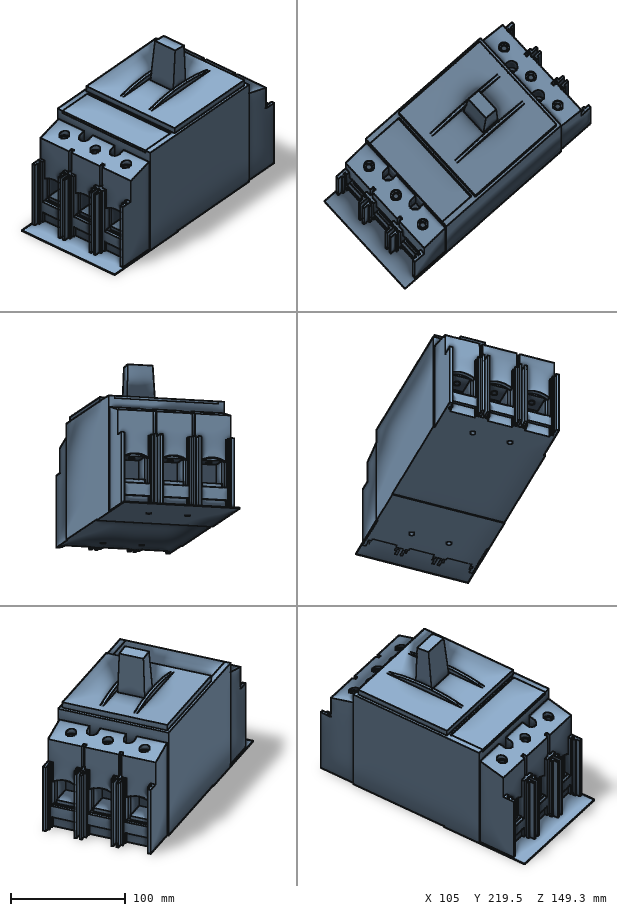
import cadquery as cq

EPS = 2.2

CASE_WIDTH = 105.0
CASE_LENGTH = 134.3
CASE_TOP = 103.8
CASE_FRONT = -CASE_LENGTH / 2
UNDERSIDE = 0.9
PLATE_FRONT = -115.7
PLATE_BACK = -29.5

POLE_PITCH = 35.0
POLES = [-POLE_PITCH, 0, POLE_PITCH]
POLE_GAPS = [-POLE_PITCH / 2, POLE_PITCH / 2]
END_WIDTH = 102.3
END_FACE = 92.0
END_LEDGE = 0.7
SLOPE_HIGH = 93.5
SLOPE_LOW = 86.7

BARRIER_TOP = 64.8
FLANGE_THICKNESS = 2.6
FLANGE_FRONT = END_FACE + FLANGE_THICKNESS
OPENING_WIDTH = 22.8
ARM_OUTER = 3.5
ARM_INNER = 1.43
ARM_END = 103.8
SIDE_ARM_END = 103.0
SIDE_ARM_WIDTH = 2.9
TAB_REACH = 2.0
SIDE_TAB_REACH = 1.5
TAB_LENGTH = 2.2
TAB_START = 96.8
NECK_DEPTH = 0.5
BAR_BOTTOM = 11.2
BAR_TOP = 22.2
GROOVE_WIDTH = 2 * ARM_INNER
GROOVE_BOTTOM_Y = 88.5

POCKET_DEPTH = 3.7
POCKET_FLOOR = 22.8
ENTRY_DEPTH = 0.5
ARCH_CROWN = 49.0
ARCH_SPRING = 45.5
CAVITY_WIDTH = 18.2
CAVITY_DEPTH = 22.0
CAVITY_FLOOR = 26.3
CAVITY_CEILING = 46.8
SILL_PROJECTION = 1.3

SCREW_Y = 79.0
SCREW_WELL_DIAMETER = 9.0
SCREW_WELL_FLOOR = 87.0
SCREW_SOCKET_DIAMETER = 5.5
SCREW_SOCKET_DEPTH = 3.3
SCREW_TIP_LENGTH = 0.7

MOUNT_Y = 72.2
MOUNT_SEAT_DIAMETER = 10.0
MOUNT_SEAT = BARRIER_TOP
MOUNT_HOLE_DIAMETER = 4.5

RECESS_WIDTH = 94.0
RECESS_BACK = -33.0
RECESS_DEPTH = 2.2
LABEL_GAP = 0.7

COVER_WIDTH = 99.7
COVER_FRONT = -31.0
COVER_BACK = 63.9
COVER_TOP = 109.3
RIB_INNER = 14.7
RIB_OUTER = 17.5
RIB_FRONT = -23.0
RIB_BACK = 55.5
RIB_RISE = 4.5

HANDLE_TOP = 149.3
HANDLE_REAR_TOP = 148.2
HANDLE_BASE_WIDTH = 25.7
HANDLE_TOP_WIDTH = 22.8
HANDLE_BASE_FRONT = 11.6
HANDLE_TOP_FRONT = 16.0
HANDLE_BASE_BACK = 28.5
HANDLE_TOP_BACK = 28.0


def box(x0, x1, y0, y1, z0, z1):
    """Block between two corners."""
    return cq.Workplane("XY").box(x1 - x0, y1 - y0, z1 - z0, centered=False).translate((x0, y0, z0))


def centred_box(x, width, y0, y1, z0, z1):
    """Block of a width centred on x."""
    return box(x - width / 2, x + width / 2, y0, y1, z0, z1)


def upright_cylinder(x, y, diameter, z0, z1):
    return cq.Workplane("XY", origin=(x, y, z0)).circle(diameter / 2).extrude(z1 - z0)




def end_block():
    """Body behind the end face, with the sloped top."""
    ledge_end = CASE_LENGTH / 2 + END_LEDGE
    side = [
        (0, UNDERSIDE),
        (END_FACE, UNDERSIDE),
        (END_FACE, SLOPE_LOW),
        (ledge_end, SLOPE_HIGH),
        (0, SLOPE_HIGH),
    ]
    return cq.Workplane("YZ").polyline(side).close().extrude(END_WIDTH / 2, both=True)


def flange():
    """Wall on the end face, open in front of each pole and bridged by a low bar."""
    wall = centred_box(0, END_WIDTH, END_FACE, FLANGE_FRONT, UNDERSIDE, BARRIER_TOP)
    for x in POLES:
        for z0, z1 in [(UNDERSIDE, BAR_BOTTOM), (BAR_TOP, BARRIER_TOP)]:
            wall = wall.cut(centred_box(x, OPENING_WIDTH, END_FACE, FLANGE_FRONT, z0, z1))
    return wall


def barrier_arm(back_x, face_x, arm_end, tab_reach):
    """Upright arm from back_x to face_x, with a necked root and a tab on the face_x side."""
    outward = 1 if face_x > back_x else -1
    neck_x = face_x - outward * NECK_DEPTH
    tab_x = face_x + outward * tab_reach
    tab_end = TAB_START + TAB_LENGTH
    plan = [
        (back_x, END_FACE),
        (neck_x, END_FACE),
        (neck_x, TAB_START),
        (tab_x, TAB_START),
        (tab_x, tab_end),
        (face_x, tab_end),
        (face_x, arm_end),
        (back_x, arm_end),
    ]
    arm = cq.Workplane("XY").polyline(plan).close().extrude(BARRIER_TOP - UNDERSIDE)
    return arm.translate((0, 0, UNDERSIDE))


def barriers():
    """Pair of arms between neighbouring poles and a single arm on each side."""
    arms = cq.Workplane("XY")
    for side in (-1, 1):
        edge = side * END_WIDTH / 2
        side_face = edge - side * SIDE_ARM_WIDTH
        arms = arms.add(barrier_arm(edge, side_face, SIDE_ARM_END, SIDE_TAB_REACH))
        for x in POLE_GAPS:
            inner_face = x + side * ARM_INNER
            outer_face = x + side * ARM_OUTER
            arms = arms.add(barrier_arm(inner_face, outer_face, ARM_END, TAB_REACH))
    return arms.combine()


def terminal_pocket(x):
    """Cutter for an arched pocket with a flat, narrower cavity behind it."""
    half = OPENING_WIDTH / 2
    arch = (
        cq.Workplane("XZ", origin=(x, END_FACE, 0))
        .moveTo(-half, POCKET_FLOOR)
        .lineTo(half, POCKET_FLOOR)
        .lineTo(half, ARCH_SPRING)
        .threePointArc((0, ARCH_CROWN), (-half, ARCH_SPRING))
        .close()
        .extrude(POCKET_DEPTH)
    )
    cavity_back = END_FACE - CAVITY_DEPTH
    cavity = centred_box(x, CAVITY_WIDTH, cavity_back, END_FACE, CAVITY_FLOOR, CAVITY_CEILING)
    sill_back = END_FACE - POCKET_DEPTH
    sill_front = sill_back + SILL_PROJECTION
    sill = centred_box(x, CAVITY_WIDTH, sill_back, sill_front, POCKET_FLOOR, CAVITY_FLOOR)
    entry_back = END_FACE - ENTRY_DEPTH
    entry = centred_box(x, OPENING_WIDTH, entry_back, END_FACE, BAR_TOP, POCKET_FLOOR)
    return arch.union(cavity).cut(sill).union(entry)


def screw_well(x):
    """Cutter for the round well above a terminal screw and the socket in the screw."""
    socket_floor = SCREW_WELL_FLOOR - SCREW_SOCKET_DEPTH
    well = upright_cylinder(x, SCREW_Y, SCREW_WELL_DIAMETER, SCREW_WELL_FLOOR, SLOPE_HIGH)
    socket = upright_cylinder(x, SCREW_Y, SCREW_SOCKET_DIAMETER, socket_floor, SCREW_WELL_FLOOR)
    return well.union(socket)


def screw_tip(x):
    """Screw end that stands out below the cavity ceiling."""
    tip_end = CAVITY_CEILING - SCREW_TIP_LENGTH
    return upright_cylinder(x, SCREW_Y, SCREW_SOCKET_DIAMETER, tip_end, CAVITY_CEILING + EPS)


def mounting_hole(x):
    """Cutter for a through hole under a round-ended seat that is open toward the case."""
    seat = upright_cylinder(x, MOUNT_Y, MOUNT_SEAT_DIAMETER, MOUNT_SEAT, SLOPE_HIGH)
    mouth = centred_box(x, MOUNT_SEAT_DIAMETER, CASE_LENGTH / 2, MOUNT_Y, MOUNT_SEAT, SLOPE_HIGH)
    hole = upright_cylinder(x, MOUNT_Y, MOUNT_HOLE_DIAMETER, -EPS, MOUNT_SEAT)
    return seat.union(mouth).union(hole)


def face_groove(x):
    """Cutter for the upright groove in the end face above a pair of arms."""
    return centred_box(x, GROOVE_WIDTH, GROOVE_BOTTOM_Y, END_FACE, BARRIER_TOP, SLOPE_HIGH)


def terminal_end():
    end = end_block().union(flange()).union(barriers())
    for x in POLES:
        end = end.cut(terminal_pocket(x)).cut(screw_well(x)).union(screw_tip(x))
    for x in POLE_GAPS:
        end = end.cut(face_groove(x))
    return end




def make_housing():
    """Case with a terminal end at the front and back, and the base plate."""
    case = centred_box(0, CASE_WIDTH, CASE_FRONT, -CASE_FRONT, UNDERSIDE, CASE_TOP)
    recess_floor = CASE_TOP - RECESS_DEPTH
    case = case.cut(centred_box(0, RECESS_WIDTH, CASE_FRONT, RECESS_BACK, recess_floor, CASE_TOP))
    case = case.union(centred_box(0, CASE_WIDTH, PLATE_FRONT, PLATE_BACK, 0, UNDERSIDE))
    for turn in (0, 180):
        case = case.union(terminal_end().rotate((0, 0, 0), (0, 0, 1), turn))
        for x in POLE_GAPS:
            case = case.cut(mounting_hole(x).rotate((0, 0, 0), (0, 0, 1), turn))
    return case


def make_label():
    """Plate that fills the recess, flush with the case."""
    label_back = RECESS_BACK - LABEL_GAP
    return centred_box(0, RECESS_WIDTH, CASE_FRONT, label_back, CASE_TOP - RECESS_DEPTH, CASE_TOP)


def make_cover():
    """Raised panel with a low arched rib on each side of the handle."""
    cover = centred_box(0, COVER_WIDTH, COVER_FRONT, COVER_BACK, CASE_TOP, COVER_TOP)
    rib_middle = (RIB_FRONT + RIB_BACK) / 2
    for x in (-RIB_OUTER, RIB_INNER):
        rib = (
            cq.Workplane("YZ", origin=(x, 0, 0))
            .moveTo(RIB_FRONT, COVER_TOP)
            .threePointArc((rib_middle, COVER_TOP + RIB_RISE), (RIB_BACK, COVER_TOP))
            .close()
            .extrude(RIB_OUTER - RIB_INNER)
        )
        cover = cover.union(rib)
    return cover


def make_handle():
    """Tapered lever standing on the cover."""
    side = [
        (HANDLE_BASE_FRONT, COVER_TOP),
        (HANDLE_TOP_FRONT, HANDLE_TOP),
        (HANDLE_TOP_BACK, HANDLE_REAR_TOP),
        (HANDLE_BASE_BACK, COVER_TOP),
    ]
    front = [
        (-HANDLE_BASE_WIDTH / 2, COVER_TOP),
        (HANDLE_BASE_WIDTH / 2, COVER_TOP),
        (HANDLE_TOP_WIDTH / 2, HANDLE_TOP),
        (-HANDLE_TOP_WIDTH / 2, HANDLE_TOP),
    ]
    lever = cq.Workplane("YZ").polyline(side).close().extrude(HANDLE_BASE_WIDTH / 2, both=True)
    taper = cq.Workplane("XZ").polyline(front).close().extrude(-HANDLE_BASE_BACK)
    return lever.intersect(taper)


housing = make_housing()
label = make_label()
cover = make_cover()
handle = make_handle()

result = cq.Compound.makeCompound([housing.val(), label.val(), cover.val(), handle.val()])